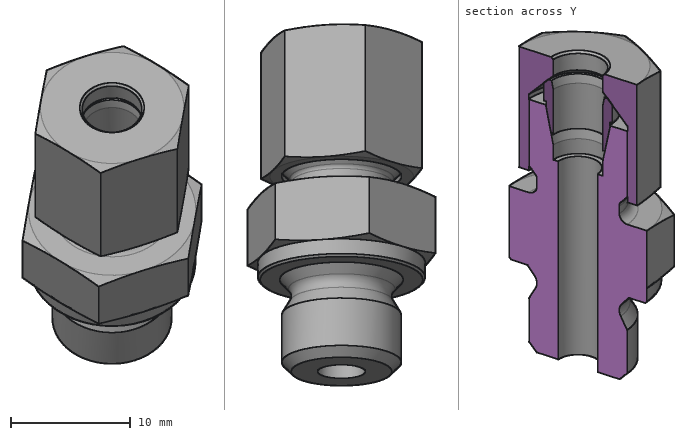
import cadquery as cq
import math


TOTAL_HEIGHT = 28.5
END_CHAMFER = 0.8
THREAD_TOP = 4.93
COLLAR_BOTTOM = 8.0
HEX_BOTTOM = 9.5
HEX_TOP = 14.95
NUT_BOTTOM = 17.01
BODY_TOP = 23.8
SOCKET_FLOOR = 18.8

THREAD_RADIUS = 10.0 / 2
NECK_RADIUS = 8.4 / 2
TUBE_RADIUS = 5.0 / 2
FLOW_RADIUS = 4.0 / 2
CONE_MOUTH_RADIUS = 6.5 / 2
RING_RADIUS = 7.0 / 2
BODY_HEX_WIDTH = 14.0
NUT_HEX_WIDTH = 12.0

RELIEF_FILLET = 0.97
RELIEF_LOWER_ANGLE = math.radians(30)
RELIEF_UPPER_ANGLE = math.radians(42)
COLLAR_CHAMFER = 0.2
NECK_LOWER_FILLET = 0.8
NECK_UPPER_FILLET = 0.5
NECK_UPPER_START = 16.47
NECK_UPPER_ANGLE = math.radians(45)

HEX_HALF_ANGLE = 30
HEX_TRIM_ANGLE = math.radians(15)

NUT_MOUTH_CHAMFER = 0.2
NUT_BORE_DEPTH = 1.77
RING_REAR_DEPTH = 2.22
RING_REAR_MOUTH_DEPTH = 0.77
RING_SHOULDER_GAP = 0.28
RING_NOSE_THICKNESS = 0.2
CONE_SLOPE = math.tan(math.radians(12))


def revolve(profile):
    """Turn a closed (radius, height) outline once around Z."""
    return profile.close().revolve(360, (0, 0, 0), (0, 1, 0))


def polygon_turned(points):
    """Turn a straight-sided (radius, height) outline once around Z."""
    return revolve(cq.Workplane("XZ").polyline(points))


def arc_point(center_radius, center_height, fillet, angle):
    """Point on a concave fillet that faces the axis; positive angles lie above its centre."""
    return (center_radius - fillet * math.cos(angle), center_height + fillet * math.sin(angle))


def trimmed_hexagon(width, bottom, top):
    """Hexagonal prism with corners on the Y axis, trimmed by a cone at both ends."""
    flat_radius = width / 2
    corner_radius = flat_radius / math.cos(math.radians(HEX_HALF_ANGLE))
    drop = (corner_radius - flat_radius) * math.tan(HEX_TRIM_ANGLE)
    prism = (
        cq.Workplane("XY", origin=(0, 0, bottom))
        .polygon(6, 2 * corner_radius)
        .extrude(top - bottom)
        .rotate((0, 0, 0), (0, 0, 1), HEX_HALF_ANGLE)
    )
    envelope = polygon_turned([
        (0, bottom),
        (flat_radius, bottom),
        (corner_radius, bottom + drop),
        (corner_radius, top - drop),
        (flat_radius, top),
        (0, top),
    ])
    return prism.intersect(envelope)


def body_stud():
    """Screw-in end with its thread relief and the round collar under the hexagon."""
    fillet_radius = NECK_RADIUS + RELIEF_FILLET
    lower_radius = fillet_radius - RELIEF_FILLET * math.cos(RELIEF_LOWER_ANGLE)
    lower_height = THREAD_TOP + (THREAD_RADIUS - lower_radius) / math.tan(RELIEF_LOWER_ANGLE)
    fillet_height = lower_height + RELIEF_FILLET * math.sin(RELIEF_LOWER_ANGLE)
    upper = arc_point(fillet_radius, fillet_height, RELIEF_FILLET, RELIEF_UPPER_ANGLE)
    collar_inner = upper[0] + (COLLAR_BOTTOM - upper[1]) * math.tan(RELIEF_UPPER_ANGLE)
    collar_radius = BODY_HEX_WIDTH / 2

    profile = (
        cq.Workplane("XZ")
        .moveTo(0, 0)
        .lineTo(THREAD_RADIUS - END_CHAMFER, 0)
        .lineTo(THREAD_RADIUS, END_CHAMFER)
        .lineTo(THREAD_RADIUS, THREAD_TOP)
        .lineTo(lower_radius, lower_height)
        .threePointArc((NECK_RADIUS, fillet_height), upper)
        .lineTo(collar_inner, COLLAR_BOTTOM)
        .lineTo(collar_radius - COLLAR_CHAMFER, COLLAR_BOTTOM)
        .lineTo(collar_radius, COLLAR_BOTTOM + COLLAR_CHAMFER)
        .lineTo(collar_radius, HEX_BOTTOM)
        .lineTo(0, HEX_BOTTOM)
    )
    return revolve(profile)


def body_neck():
    """Filleted neck above the hexagon and the threaded end that carries the nut."""
    lower_center = (NECK_RADIUS + NECK_LOWER_FILLET, HEX_TOP + NECK_LOWER_FILLET)
    lower_middle = arc_point(*lower_center, NECK_LOWER_FILLET, -math.pi / 4)
    upper_center = (NECK_RADIUS + NECK_UPPER_FILLET, NECK_UPPER_START)
    upper_middle = arc_point(*upper_center, NECK_UPPER_FILLET, NECK_UPPER_ANGLE / 2)
    upper_end = arc_point(*upper_center, NECK_UPPER_FILLET, NECK_UPPER_ANGLE)
    thread_start = upper_end[1] + (THREAD_RADIUS - upper_end[0]) / math.tan(NECK_UPPER_ANGLE)

    profile = (
        cq.Workplane("XZ")
        .moveTo(0, HEX_TOP)
        .lineTo(lower_center[0], HEX_TOP)
        .threePointArc(lower_middle, (NECK_RADIUS, lower_center[1]))
        .lineTo(NECK_RADIUS, NECK_UPPER_START)
        .threePointArc(upper_middle, upper_end)
        .lineTo(THREAD_RADIUS, thread_start)
        .lineTo(THREAD_RADIUS, BODY_TOP)
        .lineTo(0, BODY_TOP)
    )
    return revolve(profile)


def body_bore():
    """Through bore, tube socket and the 24 degree cone that receives the cutting ring."""
    cone_depth = (CONE_MOUTH_RADIUS - TUBE_RADIUS) / CONE_SLOPE
    return polygon_turned([
        (0, 0),
        (FLOW_RADIUS, 0),
        (FLOW_RADIUS, SOCKET_FLOOR),
        (TUBE_RADIUS, SOCKET_FLOOR),
        (TUBE_RADIUS, BODY_TOP - cone_depth),
        (CONE_MOUTH_RADIUS, BODY_TOP),
        (0, BODY_TOP),
    ])


def make_body():
    hexagon = trimmed_hexagon(BODY_HEX_WIDTH, HEX_BOTTOM, HEX_TOP)
    return body_stud().union(hexagon).union(body_neck()).cut(body_bore()).solids()


def make_nut():
    """Union nut: threaded bore, 45 degree pressing cone and tube hole."""
    bore_end = TOTAL_HEIGHT - NUT_BORE_DEPTH
    cavity = polygon_turned([
        (0, NUT_BOTTOM),
        (THREAD_RADIUS, NUT_BOTTOM),
        (THREAD_RADIUS, bore_end - (THREAD_RADIUS - TUBE_RADIUS)),
        (TUBE_RADIUS, bore_end),
        (TUBE_RADIUS, TOTAL_HEIGHT - NUT_MOUTH_CHAMFER),
        (TUBE_RADIUS + NUT_MOUTH_CHAMFER, TOTAL_HEIGHT),
        (0, TOTAL_HEIGHT),
    ])
    return trimmed_hexagon(NUT_HEX_WIDTH, NUT_BOTTOM, TOTAL_HEIGHT).cut(cavity).solids()


def make_cutting_ring():
    """Ring whose rear bevel rests on the nut cone and whose nose fits the body cone."""
    rear = TOTAL_HEIGHT - RING_REAR_DEPTH
    rear_radius = TUBE_RADIUS + RING_REAR_DEPTH - NUT_BORE_DEPTH
    rear_mouth_radius = TUBE_RADIUS + RING_REAR_MOUTH_DEPTH * CONE_SLOPE
    shoulder = BODY_TOP + RING_SHOULDER_GAP
    nose_radius = TUBE_RADIUS + RING_NOSE_THICKNESS
    nose = BODY_TOP - (CONE_MOUTH_RADIUS - nose_radius) / CONE_SLOPE
    return polygon_turned([
        (TUBE_RADIUS, nose),
        (nose_radius, nose),
        (CONE_MOUTH_RADIUS, BODY_TOP),
        (CONE_MOUTH_RADIUS, shoulder),
        (RING_RADIUS, shoulder),
        (RING_RADIUS, rear - (RING_RADIUS - rear_radius)),
        (rear_radius, rear),
        (rear_mouth_radius, rear),
        (TUBE_RADIUS, rear - RING_REAR_MOUTH_DEPTH),
    ])


body = make_body()
nut = make_nut()
cutting_ring = make_cutting_ring()

result = cq.Compound.makeCompound([body.val(), nut.val(), cutting_ring.val()])